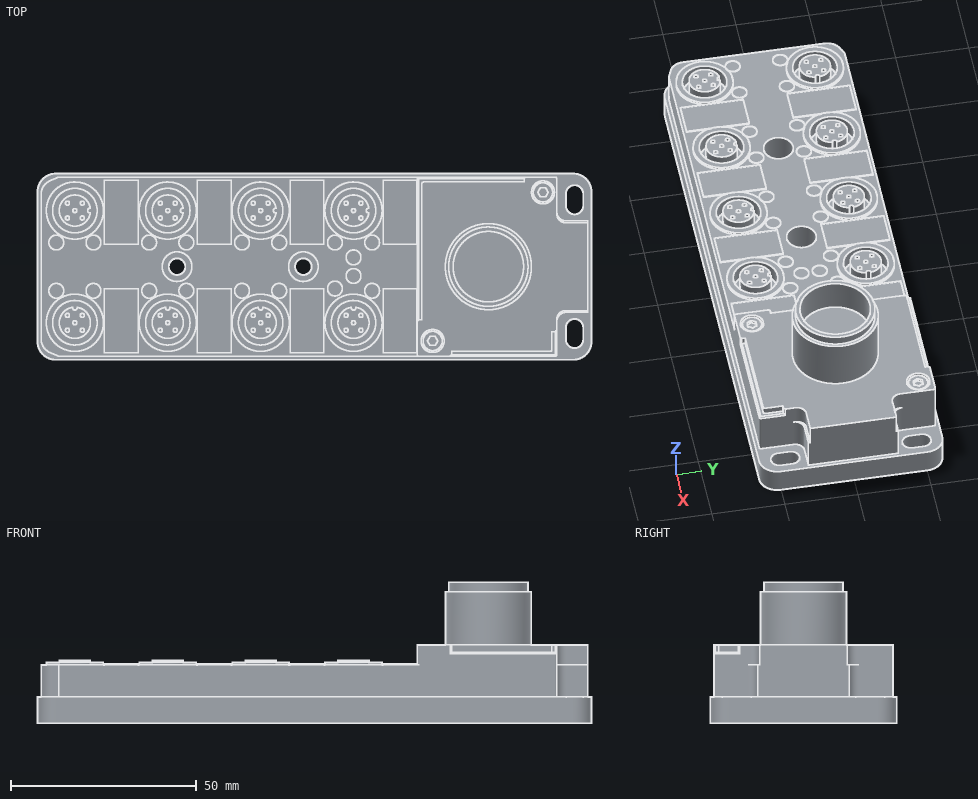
import cadquery as cq
import math

BASE_LENGTH = 149.2
BASE_WIDTH = 50.2
TOTAL_HEIGHT = 38.0
BASE_RADIUS = 5.0

BASE_TOP = 7.1
BODY_TOP = 15.7
HOOD_TOP = 21.1
CONNECTOR_STEP = 35.4
CONNECTOR_FLOOR = 29.0

BODY_INSET = 1.0
BODY_LEFT = -BASE_LENGTH / 2 + BODY_INSET
BODY_HALF_WIDTH = BASE_WIDTH / 2 - BODY_INSET
CORNER_RUN = 4.7
CORNER_RADIUS = 4.1
CORNER_ARC_END = 2.8

HOOD_LEFT = 27.6
HOOD_RIGHT = 65.2
TONGUE_RIGHT = BASE_LENGTH / 2 - BODY_INSET
BODY_TONGUE_HALF_WIDTH = 12.3
HOOD_TONGUE_HALF_WIDTH = 11.8
TONGUE_FILLET = 2.5
TONGUE_OVERLAP = 1.0
HOOD_EDGE_FILLET = 0.45

REBATE_WIDTH = 1.3
REBATE_DEPTH = 2.0
REBATE_CHAMFER = 0.4
REBATE_CORNER_RADIUS = 0.5
BACK_REBATE_RIGHT = 56.4
LEFT_REBATE_FRONT = -14.3
FRONT_REBATE_LEFT = 36.9
RIGHT_REBATE_BACK = -17.5

CONNECTOR_X = 46.8
CONNECTOR_RADIUS = 11.6
CONNECTOR_RIM_RADIUS = 10.7
CONNECTOR_BORE_RADIUS = 9.5

PORT_COUNT = 4
PORT_PITCH = 25.0
FIRST_PORT_X = -64.5
PORT_ROW_Y = 15.1
COLLAR_RADIUS = 7.7
COLLAR_HEIGHT = 0.7
PORT_BORE_RADIUS = 6.0
PORT_DEPTH = 4.0
INSERT_RADIUS = 4.2
INSERT_HEIGHT = 1.2
CONTACT_RADIUS = 0.55
CONTACT_OFFSET = 2.0
CONTACT_DEPTH = 3.0
KEYWAY_RADIUS = 0.6
KEYWAY_OFFSET = 4.0

LABEL_OFFSET_X = 12.5
LABEL_WIDTH = 9.1
LABEL_INNER_Y = 6.0
LABEL_OUTER_Y = 23.2
LABEL_HEIGHT = 0.3

LENS_RADIUS = 2.0
LENS_HEIGHT = 0.15
LENS_OFFSET_X = 5.0
LENS_ROW_Y = 6.5
POWER_LENS_Y = 2.5
SHIFTED_LENS_Y = -5.9

MOUNT_HOLE_X = (-37.0, -3.0)
MOUNT_HOLE_DIAMETER = 4.4
MOUNT_BORE_DIAMETER = 8.0
SLOT_X = 70.0
SLOT_Y = 18.0
SLOT_LENGTH = 7.8
SLOT_WIDTH = 4.6

SCREW_CENTRES = [(61.5, 20.0), (31.8, -20.0)]
SCREW_BORE_RADIUS = 3.1
SCREW_BORE_DEPTH = 1.5
SCREW_HEAD_RADIUS = 2.6
SCREW_HEAD_HEIGHT = 1.2
HEX_SIDES = 6
HEX_SOCKET_DIAMETER = 2.8
HEX_SOCKET_DEPTH = 0.8


def box(x_min, x_max, y_min, y_max, z_min, z_max):
    size = (x_max - x_min, y_max - y_min, z_max - z_min)
    return cq.Workplane("XY").box(*size, centered=False).translate((x_min, y_min, z_min))


def cylinders(centres, radius, z_min, z_max):
    return (
        cq.Workplane("XY").workplane(offset=z_min)
        .pushPoints(centres).circle(radius).extrude(z_max - z_min)
    )


def vertical_edges_at(x, y):
    """Selector for the vertical edge standing at (x, y)."""
    tolerance = 0.05
    low = (x - tolerance, y - tolerance, 0)
    high = (x + tolerance, y + tolerance, TOTAL_HEIGHT)
    return cq.selectors.BoxSelector(low, high)


def make_base():
    base = cq.Workplane("XY").rect(BASE_LENGTH, BASE_WIDTH).extrude(BASE_TOP)
    return base.edges("|Z").fillet(BASE_RADIUS)


def make_main_body():
    """Body up to the port face; each -X corner is an arc that runs into a short slanted flat."""
    side = BODY_HALF_WIDTH
    arc_start_y = side - CORNER_RUN
    arc_centre_x = BODY_LEFT + CORNER_RADIUS
    arc_end_x = BODY_LEFT + CORNER_ARC_END
    arc_angle = math.acos((arc_centre_x - arc_end_x) / CORNER_RADIUS)
    arc_end_y = arc_start_y + CORNER_RADIUS * math.sin(arc_angle)
    arc_mid_x = arc_centre_x - CORNER_RADIUS * math.cos(arc_angle / 2)
    arc_mid_y = arc_start_y + CORNER_RADIUS * math.sin(arc_angle / 2)
    return (
        cq.Workplane("XY").workplane(offset=BASE_TOP)
        .moveTo(HOOD_RIGHT, side)
        .lineTo(BODY_LEFT + CORNER_RUN, side)
        .lineTo(arc_end_x, arc_end_y)
        .threePointArc((arc_mid_x, arc_mid_y), (BODY_LEFT, arc_start_y))
        .lineTo(BODY_LEFT, -arc_start_y)
        .threePointArc((arc_mid_x, -arc_mid_y), (arc_end_x, -arc_end_y))
        .lineTo(BODY_LEFT + CORNER_RUN, -side)
        .lineTo(HOOD_RIGHT, -side)
        .close()
        .extrude(BODY_TOP - BASE_TOP)
    )


def add_tongue(block, half_width, z_min, z_max):
    """Extend a block beyond HOOD_RIGHT and round the inside and outside corners there."""
    root_x = HOOD_RIGHT - TONGUE_OVERLAP
    block = block.union(box(root_x, TONGUE_RIGHT, -half_width, half_width, z_min, z_max))
    for side in (-1, 1):
        block = block.edges(vertical_edges_at(HOOD_RIGHT, side * half_width)).fillet(TONGUE_FILLET)
        block = block.edges(vertical_edges_at(HOOD_RIGHT, side * BODY_HALF_WIDTH)).fillet(HOOD_EDGE_FILLET)
    return block


def make_body():
    return add_tongue(make_main_body(), BODY_TONGUE_HALF_WIDTH, BASE_TOP, BODY_TOP)


def make_hood():
    side = BODY_HALF_WIDTH
    hood = box(HOOD_LEFT, HOOD_RIGHT, -side, side, BODY_TOP, HOOD_TOP)
    hood = add_tongue(hood, HOOD_TONGUE_HALF_WIDTH, BODY_TOP, HOOD_TOP)
    for y in (-side, side):
        hood = hood.edges(vertical_edges_at(HOOD_LEFT, y)).fillet(HOOD_EDGE_FILLET)
    hood = cut_rebate(hood, -1, 1, BACK_REBATE_RIGHT, LEFT_REBATE_FRONT)
    return cut_rebate(hood, 1, -1, FRONT_REBATE_LEFT, RIGHT_REBATE_BACK)


def cut_rebate(hood, x_side, y_side, end_x, end_y):
    """Cut an L-shaped rebate round one hood corner and chamfer its outer lip.

    x_side and y_side are -1 or 1 and pick the corner; the legs stop at end_x and end_y.
    """
    corner_x = HOOD_LEFT if x_side < 0 else HOOD_RIGHT
    corner_y = y_side * BODY_HALF_WIDTH
    inner_x = corner_x - x_side * REBATE_WIDTH
    inner_y = corner_y - y_side * REBATE_WIDTH
    floor = HOOD_TOP - REBATE_DEPTH
    outline = [
        (corner_x, corner_y),
        (end_x, corner_y),
        (end_x, inner_y),
        (inner_x, inner_y),
        (inner_x, end_y),
        (corner_x, end_y),
    ]
    cutter = cq.Workplane("XY").workplane(offset=floor).polyline(outline).close().extrude(REBATE_DEPTH)
    cutter = cutter.edges(vertical_edges_at(inner_x, inner_y)).fillet(REBATE_CORNER_RADIUS)
    hood = hood.cut(cutter)

    floor_edge_x = (corner_x - x_side * HOOD_EDGE_FILLET + end_x) / 2
    floor_edge_y = (corner_y - y_side * HOOD_EDGE_FILLET + end_y) / 2
    end_z = (floor + HOOD_TOP) / 2
    lip_points = [
        (floor_edge_x, corner_y, floor),
        (corner_x, floor_edge_y, floor),
        (end_x, corner_y, end_z),
        (corner_x, end_y, end_z),
    ]
    lip = hood.edges(cq.selectors.NearestToPointSelector(lip_points[0]))
    for point in lip_points[1:]:
        lip = lip.add(hood.edges(cq.selectors.NearestToPointSelector(point)))
    return lip.chamfer(REBATE_CHAMFER)


def add_screws(part):
    floor = HOOD_TOP - SCREW_BORE_DEPTH
    head_top = floor + SCREW_HEAD_HEIGHT
    part = part.cut(cylinders(SCREW_CENTRES, SCREW_BORE_RADIUS, floor, HOOD_TOP))
    part = part.union(cylinders(SCREW_CENTRES, SCREW_HEAD_RADIUS, floor, head_top))
    sockets = (
        cq.Workplane("XY").workplane(offset=head_top)
        .pushPoints(SCREW_CENTRES).polygon(HEX_SIDES, HEX_SOCKET_DIAMETER).extrude(-HEX_SOCKET_DEPTH)
    )
    return part.cut(sockets)


def add_connector(part):
    centre = [(CONNECTOR_X, 0)]
    part = part.union(cylinders(centre, CONNECTOR_RADIUS, HOOD_TOP, CONNECTOR_STEP))
    part = part.union(cylinders(centre, CONNECTOR_RIM_RADIUS, CONNECTOR_STEP, TOTAL_HEIGHT))
    return part.cut(cylinders(centre, CONNECTOR_BORE_RADIUS, CONNECTOR_FLOOR, TOTAL_HEIGHT))


def add_labels(part, columns):
    for port_x in columns:
        x_min = port_x + LABEL_OFFSET_X - LABEL_WIDTH / 2
        x_max = x_min + LABEL_WIDTH
        for y_min, y_max in ((LABEL_INNER_Y, LABEL_OUTER_Y), (-LABEL_OUTER_Y, -LABEL_INNER_Y)):
            part = part.union(box(x_min, x_max, y_min, y_max, BODY_TOP, BODY_TOP + LABEL_HEIGHT))
    return part


def add_lenses(part, columns):
    centres = [
        (port_x + dx, y)
        for port_x in columns
        for dx in (-LENS_OFFSET_X, LENS_OFFSET_X)
        for y in (-LENS_ROW_Y, LENS_ROW_Y)
    ]
    centres.remove((columns[-1] - LENS_OFFSET_X, -LENS_ROW_Y))
    centres.append((columns[-1] - LENS_OFFSET_X, SHIFTED_LENS_Y))
    centres += [(columns[-1], -POWER_LENS_Y), (columns[-1], POWER_LENS_Y)]
    return part.union(cylinders(centres, LENS_RADIUS, BODY_TOP, BODY_TOP + LENS_HEIGHT))


def add_ports(part, columns):
    """Collared sockets with raised inserts; keyways face +X in the back row, +Y in the front row."""
    back_row = [(x, PORT_ROW_Y) for x in columns]
    front_row = [(x, -PORT_ROW_Y) for x in columns]
    ports = back_row + front_row
    collar_top = BODY_TOP + COLLAR_HEIGHT
    insert_top = BODY_TOP + INSERT_HEIGHT
    port_floor = BODY_TOP - PORT_DEPTH
    part = part.union(cylinders(ports, COLLAR_RADIUS, BODY_TOP, collar_top))
    part = part.cut(cylinders(ports, PORT_BORE_RADIUS, port_floor, collar_top))
    part = part.union(cylinders(ports, INSERT_RADIUS, port_floor, insert_top))

    sides = (-CONTACT_OFFSET, CONTACT_OFFSET)
    contact_offsets = [(0, 0)] + [(dx, dy) for dx in sides for dy in sides]
    contacts = [(x + dx, y + dy) for x, y in ports for dx, dy in contact_offsets]
    part = part.cut(cylinders(contacts, CONTACT_RADIUS, insert_top - CONTACT_DEPTH, insert_top))

    keyways = [(x + KEYWAY_OFFSET, y) for x, y in back_row]
    keyways += [(x, y + KEYWAY_OFFSET) for x, y in front_row]
    return part.cut(cylinders(keyways, KEYWAY_RADIUS, port_floor, insert_top))


def cut_mounting_features(part):
    holes = [(x, 0) for x in MOUNT_HOLE_X]
    part = part.cut(cylinders(holes, MOUNT_HOLE_DIAMETER / 2, 0, BODY_TOP))
    part = part.cut(cylinders(holes, MOUNT_BORE_DIAMETER / 2, BASE_TOP, BODY_TOP))
    slots = (
        cq.Workplane("XY").pushPoints([(SLOT_X, -SLOT_Y), (SLOT_X, SLOT_Y)])
        .slot2D(SLOT_LENGTH, SLOT_WIDTH, 90).extrude(BASE_TOP)
    )
    return part.cut(slots)


port_columns = [FIRST_PORT_X + i * PORT_PITCH for i in range(PORT_COUNT)]

result = make_base().union(make_body()).union(make_hood())
result = add_screws(result)
result = add_connector(result)
result = add_labels(result, port_columns)
result = add_lenses(result, port_columns)
result = add_ports(result, port_columns)
result = cut_mounting_features(result)